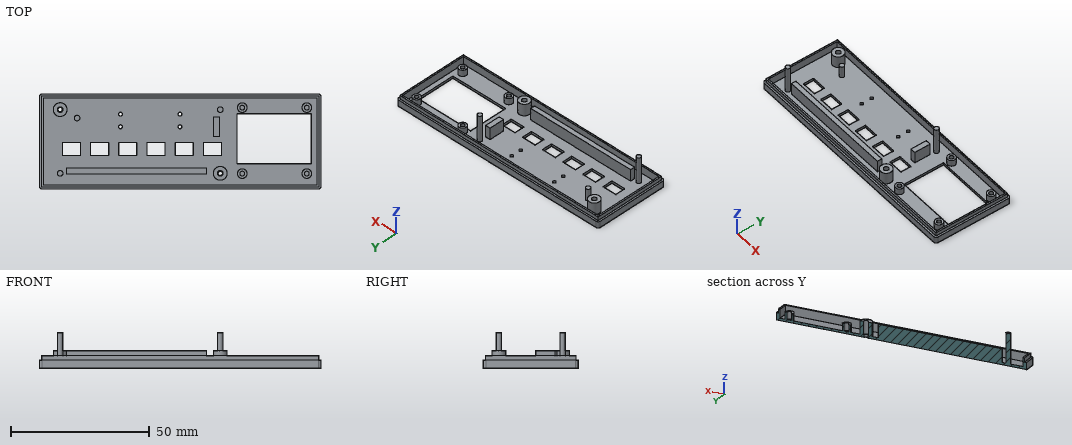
import cadquery as cq

length = 102.0
width = 34.5
pin_top = 13.0

shell_top = 3.0
lip_top = 4.6
floor_top = 1.1
corner_radius = 1.0
lip_setback = 0.8
wall = 1.5

post_top = 6.4
post_diameter = 5.0
post_bore = 2.0
post_through_hole = 1.5
pin_diameter = 2.0
peg_diameter = 2.0
peg_center = (-37.3, 8.5)
mount_left = -43.5
mount_right = 14.5
mount_y = 11.5

bar_left, bar_right = -41.1, 9.6
bar_front, bar_back = -11.7, -9.7
block_left, block_right = 12.0, 14.3
block_front, block_back = 1.7, 8.8

button_count = 6
button_pitch = 10.2
button_size = (6.4, 4.6)
first_button_x = -39.4
button_y = -2.8

light_hole = 1.3
light_hole_x = (-21.6, -0.1)
light_hole_y = (5.3, 9.9)

display_left, display_right = 20.6, 47.3
display_front, display_back = -8.1, 10.0
standoff_top = 4.0
standoff_diameter = 3.5
standoff_bore = 1.7
standoff_x = (22.4, 45.8)
standoff_y = (-11.6, 12.2)


def box(left, right, front, back, bottom, top):
    """Block given by its six bounding planes."""
    size = (right - left, back - front, top - bottom)
    return cq.Workplane("XY").box(*size, centered=False).translate((left, front, bottom))


def cylinders(centers, diameter, bottom, top):
    """Equal upright cylinders at the given XY centers."""
    plane = cq.Workplane("XY").workplane(offset=bottom)
    return plane.pushPoints(centers).circle(diameter / 2).extrude(top - bottom)


def tray():
    shell = cq.Workplane("XY").rect(length, width).extrude(shell_top)
    shell = shell.edges("|Z").fillet(corner_radius)
    lip_size = (length - 2 * lip_setback, width - 2 * lip_setback)
    lip = cq.Workplane("XY").rect(*lip_size).extrude(lip_top)
    cavity_size = (length - 2 * wall, width - 2 * wall)
    cavity = cq.Workplane("XY").workplane(offset=floor_top).rect(*cavity_size).extrude(lip_top)
    return shell.union(lip).cut(cavity)


def window_cutter():
    cutter = box(display_left, display_right, display_front, display_back, 0, floor_top)
    buttons = [(first_button_x + i * button_pitch, button_y) for i in range(button_count)]
    return cutter.union(cq.Workplane("XY").pushPoints(buttons).rect(*button_size).extrude(floor_top))


posts = [(mount_left, mount_y), (mount_right, -mount_y)]
pins = [(mount_left, -mount_y), (mount_right, mount_y)]
standoffs = [(x, y) for x in standoff_x for y in standoff_y]
light_holes = [(x, y) for x in light_hole_x for y in light_hole_y]

result = tray().cut(window_cutter()).cut(cylinders(light_holes, light_hole, 0, floor_top))

result = (
    result.union(cylinders(posts, post_diameter, 0, post_top))
    .union(cylinders(pins, pin_diameter, 0, pin_top))
    .union(cylinders([peg_center], peg_diameter, 0, post_top))
    .union(cylinders(standoffs, standoff_diameter, 0, standoff_top))
    .union(box(bar_left, bar_right, bar_front, bar_back, 0, post_top))
    .union(box(block_left, block_right, block_front, block_back, 0, post_top))
)

result = (
    result.cut(cylinders(posts, post_bore, floor_top, post_top))
    .cut(cylinders(posts, post_through_hole, 0, floor_top))
    .cut(cylinders(standoffs, standoff_bore, floor_top, standoff_top))
)